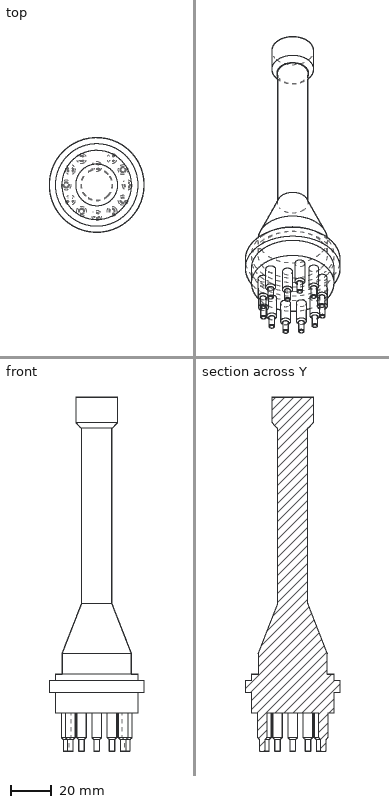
import cadquery as cq
import math

total_height = 173.5

base_diameter = 40.5
base_bottom = 18.9
flange_diameter = 46.5
flange_bottom = 29.0
flange_top = 34.9
base_top = 38.0
shoulder_diameter = 34.0
shoulder_top = 48.0

cone_top = 72.5
stem_diameter = 15.0
head_diameter = 20.5
head_height = 15.1
head_chamfer_height = 2.6
head_chamfer_width = 2.5

pin_body_diameter = 4.9
pin_body_chamfer = 0.9
pin_tip_diameter = 2.8
pin_tip_chamfer = 0.3
pin_tip_length = 6.0

ring_radius = 15.0
ring_places = 12
inset_radius = 9.0
empty_place_angle = 90


def disc(diameter, bottom, top):
    """Vertical cylinder on the Z axis between two heights."""
    return cq.Workplane("XY").workplane(offset=bottom).circle(diameter / 2).extrude(top - bottom)


def make_base():
    base = disc(base_diameter, base_bottom, base_top)
    flange = disc(flange_diameter, flange_bottom, flange_top)
    shoulder = disc(shoulder_diameter, base_top, shoulder_top)
    return base.union(flange).union(shoulder)


def make_cone():
    return (
        cq.Workplane("XY")
        .workplane(offset=shoulder_top)
        .circle(shoulder_diameter / 2)
        .workplane(offset=cone_top - shoulder_top)
        .circle(stem_diameter / 2)
        .loft(combine=True)
    )


def make_stem_and_head():
    head_bottom = total_height - head_height
    stem = disc(stem_diameter, cone_top, head_bottom)
    head = disc(head_diameter, head_bottom, total_height)
    head = head.faces("<Z").chamfer(head_chamfer_height, head_chamfer_width)
    return stem.union(head)


def make_pin(radius, angle):
    """Pin standing at a polar position, pointing down from the base."""
    body = disc(pin_body_diameter, pin_tip_length, base_bottom)
    body = body.faces("<Z").chamfer(pin_body_chamfer)
    tip = disc(pin_tip_diameter, 0, pin_tip_length)
    tip = tip.faces("<Z").chamfer(pin_tip_chamfer)
    x = radius * math.cos(math.radians(angle))
    y = radius * math.sin(math.radians(angle))
    return body.union(tip).translate((x, y, 0))


result = make_base().union(make_cone()).union(make_stem_and_head())

for place in range(ring_places):
    place_angle = place * 360 / ring_places
    pin_radius = inset_radius if place_angle == empty_place_angle else ring_radius
    result = result.union(make_pin(pin_radius, place_angle))